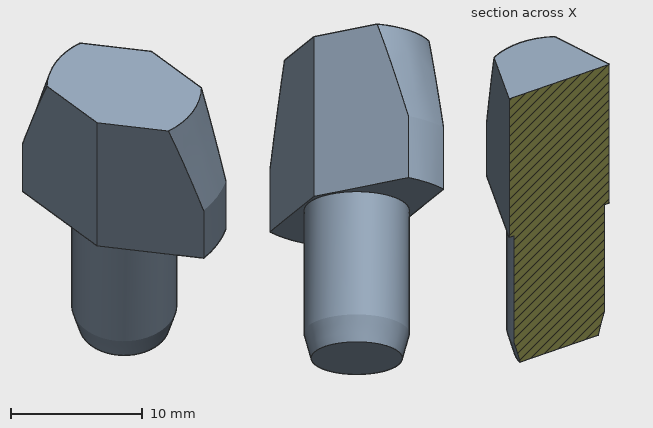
import cadquery as cq
import math

total_height = 25.0
pin_length = 12.0
head_taper_start = 17.0

pin_radius = 4.0
lead_in_height = 2.0

head_radius = 8.0
diamond_half_width = 4.412
diamond_side_slope = 1 / 3
taper_angle = math.radians(15)

lead_in_radius = pin_radius - lead_in_height * math.tan(taper_angle)
head_top_radius = head_radius - (total_height - head_taper_start) * math.tan(taper_angle)
diamond_half_length = diamond_half_width / diamond_side_slope


def revolve_profile(points):
    """Revolve a closed radius-height outline about the Z axis."""
    return cq.Workplane("XZ").polyline(points).close().revolve(360, (0, 0), (0, 1))


def make_pin():
    return revolve_profile([
        (0, 0),
        (lead_in_radius, 0),
        (pin_radius, lead_in_height),
        (pin_radius, pin_length),
        (0, pin_length),
    ])


def make_head():
    diamond = (
        cq.Workplane("XY", origin=(0, 0, pin_length))
        .polyline([
            (diamond_half_length, 0),
            (0, diamond_half_width),
            (-diamond_half_length, 0),
            (0, -diamond_half_width),
        ])
        .close()
        .extrude(total_height - pin_length)
    )
    envelope = revolve_profile([
        (0, pin_length),
        (head_radius, pin_length),
        (head_radius, head_taper_start),
        (head_top_radius, total_height),
        (0, total_height),
    ])
    return diamond.intersect(envelope)


result = make_pin().union(make_head())